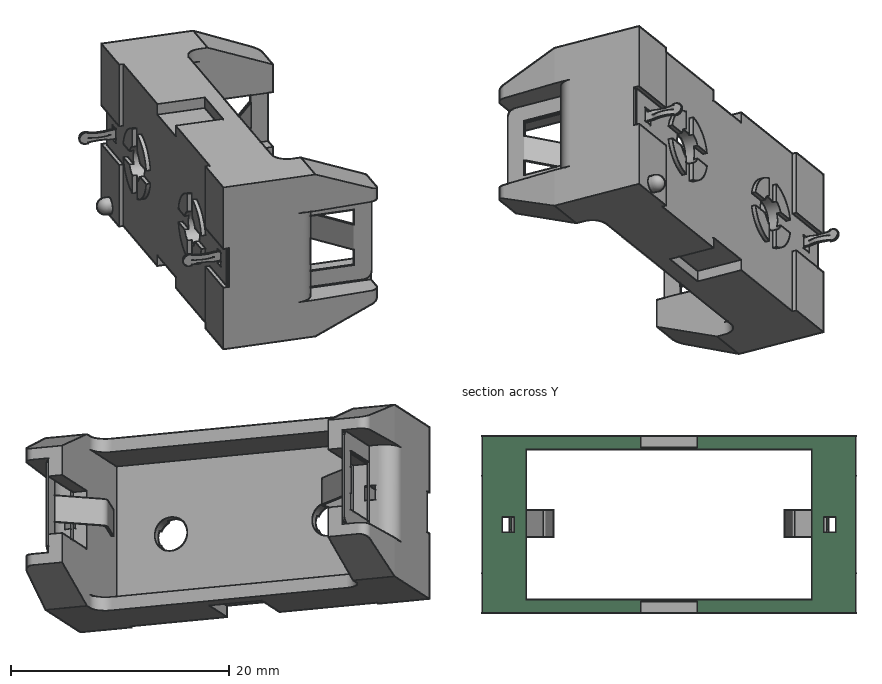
import cadquery as cq
import math


LENGTH = 34.3
WIDTH = 16.25
TIP_Y = 15.25
RIM_Y = 6.6
SHOULDER_Y = 8.9
ARM_DEPTH = 4.08
ARM_LEAN = 0.35
TIP_RADIUS = 0.9
RIM_FILLET = 1.5
TIP_NARROWING = 2.6
END_X = LENGTH / 2
HALF_WIDTH = WIDTH / 2
BED_WIDTH = 13.7
BED_Y = 1.37

PAD_HEIGHT = 0.4
PAD_LENGTH = 5.05
CHANNEL_WIDTH = 3.87
STEP_DEPTH = 0.15
STEP_LENGTH = 0.35
HOLE_SPACING = 15.45
HOLE_DIAMETER = 3.2
BOSS_DIAMETER = 6.6
BOSS_SLOT = 1.35
NOTCH_LENGTH = 5.15
NOTCH_DEPTH = 1.05
NOTCH_TOP_Y = 5.0
PEG_RADIUS = 0.8
PEG_STRAIGHT = 0.45
PEG_INSET_X = 2.45
PEG_INSET_Z = 1.03

SHEET = 0.2
PLATE_INSET = 2.5
PLATE_WIDTH = 8.68
PLATE_CORNER = 0.75
PLATE_WINDOW_WIDTH = 5.6
PLATE_WINDOW_TOP_Y = 13.55
PLATE_FOOT = 0.82
CONTACT_SHIFT_Z = 0.1
TONGUE_WIDTH = 2.5
TONGUE_BEND_INSET = 6.55
TONGUE_BEND_Y = 10.5
TONGUE_END_INSET = 5.73
TONGUE_BEND_TANGENT = 0.45
SHANK_WIDTH = 1.15
LEG_WIDTH = 0.93
BOW_LENGTH = 2.2
BOW_OUTER_RISE = 0.2
BOW_INNER_RISE = 0.17
TAIL_HEAD_WIDTH = 1.13
TAIL_HEAD_RADIUS = 0.55
TAIL_LENGTH = 3.02
PLATE_MID_X = -END_X + PLATE_INSET + SHEET / 2
PLATE_BACK_X = PLATE_MID_X + SHEET / 2
PLATE_BOTTOM_Y = SHOULDER_Y - PLATE_FOOT

RECESS_WIDTH = 8.9
LIP_RADIUS = 1.58
WALL_WINDOW_WIDTH = 5.5
LEG_SLOT_INSET = 1.9
LEG_SLOT_LENGTH = 1.05
LEG_SLOT_WIDTH = 1.37


def centred_box(x0, x1, y0, y1, width):
    """Box given by its limits in X and Y and its full width about Z = 0."""
    block = cq.Workplane("XY").box(x1 - x0, y1 - y0, width, centered=(False, False, True))
    return block.translate((x0, y0, 0))


def half_body():
    """Left half of the housing outline, narrowed in width towards the arm tip."""
    arm_x = -END_X + ARM_DEPTH
    outline = (
        cq.Workplane("XY")
        .moveTo(0, PAD_HEIGHT)
        .lineTo(-END_X + PAD_LENGTH, PAD_HEIGHT)
        .lineTo(-END_X + PAD_LENGTH, 0)
        .lineTo(-END_X, 0)
        .lineTo(-END_X, SHOULDER_Y)
        .lineTo(-END_X + ARM_LEAN, TIP_Y)
        .lineTo(arm_x, TIP_Y)
        .lineTo(arm_x, RIM_Y)
        .lineTo(0, RIM_Y)
        .close()
        .extrude(HALF_WIDTH, both=True)
    )
    tip_corner = cq.selectors.NearestToPointSelector((-END_X + ARM_LEAN, TIP_Y, 0))
    rim_corner = cq.selectors.NearestToPointSelector((arm_x, RIM_Y, 0))
    outline = outline.edges(tip_corner).fillet(TIP_RADIUS)
    outline = outline.edges(rim_corner).fillet(RIM_FILLET)
    tip_half_width = HALF_WIDTH - TIP_NARROWING
    envelope = (
        cq.Workplane("YZ")
        .polyline(
            [
                (0, -HALF_WIDTH),
                (SHOULDER_Y, -HALF_WIDTH),
                (TIP_Y, -tip_half_width),
                (TIP_Y, tip_half_width),
                (SHOULDER_Y, HALF_WIDTH),
                (0, HALF_WIDTH),
            ]
        )
        .close()
        .extrude(-LENGTH)
    )
    return outline.intersect(envelope)


def contact_recess():
    """Open recess behind the outer face, with a rounded lip, and the pocket for the plate's foot."""
    lip_x = -END_X + LIP_RADIUS
    lip_y = SHOULDER_Y - LIP_RADIUS
    lip_mid = (lip_x - LIP_RADIUS * math.sqrt(0.5), lip_y + LIP_RADIUS * math.sqrt(0.5))
    recess = (
        cq.Workplane("XY")
        .moveTo(-END_X, lip_y)
        .threePointArc(lip_mid, (lip_x, SHOULDER_Y))
        .lineTo(PLATE_BACK_X, SHOULDER_Y)
        .lineTo(PLATE_BACK_X, TIP_Y)
        .lineTo(-END_X, TIP_Y)
        .close()
        .extrude(RECESS_WIDTH / 2, both=True)
    )
    pocket = centred_box(PLATE_BACK_X - SHEET, PLATE_BACK_X, PLATE_BOTTOM_Y, SHOULDER_Y, RECESS_WIDTH)
    return recess.union(pocket)


def end_cutouts():
    """Everything removed from the left end to take one contact."""
    wall_window = centred_box(PLATE_BACK_X, -END_X + ARM_DEPTH, SHOULDER_Y, TIP_Y, WALL_WINDOW_WIDTH)
    slot_x = -END_X + LEG_SLOT_INSET
    leg_slot = centred_box(slot_x, slot_x + LEG_SLOT_LENGTH, 0, SHOULDER_Y, LEG_SLOT_WIDTH)
    channel = centred_box(-END_X, -END_X + PAD_LENGTH, 0, PAD_HEIGHT, CHANNEL_WIDTH)
    step = centred_box(-END_X, -END_X + STEP_LENGTH, 0, PAD_HEIGHT + STEP_DEPTH, CHANNEL_WIDTH)
    return contact_recess().union(wall_window).union(leg_slot).union(channel).union(step)


def cell_bed():
    """Flat-bottomed bed for the cell, from arm to arm."""
    half_length = END_X - ARM_DEPTH
    return centred_box(-half_length, half_length, BED_Y, TIP_Y, BED_WIDTH)


def hole_centres():
    """Workplane on the pad plane, facing +Y, with a point at each floor hole."""
    return cq.Workplane("XZ").pushPoints([(-HOLE_SPACING / 2, 0), (HOLE_SPACING / 2, 0)])


def floor_bosses():
    """Round bosses about the floor holes, each split into quarters by a cross of slots."""
    bosses = hole_centres().circle(BOSS_DIAMETER / 2).extrude(-PAD_HEIGHT)
    long_slots = hole_centres().rect(BOSS_DIAMETER, BOSS_SLOT).extrude(-PAD_HEIGHT)
    cross_slots = hole_centres().rect(BOSS_SLOT, BOSS_DIAMETER).extrude(-PAD_HEIGHT)
    return bosses.cut(long_slots).cut(cross_slots)


def side_notches():
    """Shallow notches in the middle of both long sides."""
    across = centred_box(-NOTCH_LENGTH / 2, NOTCH_LENGTH / 2, 0, NOTCH_TOP_Y, WIDTH)
    core = centred_box(-NOTCH_LENGTH / 2, NOTCH_LENGTH / 2, 0, NOTCH_TOP_Y, WIDTH - 2 * NOTCH_DEPTH)
    return across.cut(core)


def locating_peg():
    """Round-ended peg on the lower left pad."""
    profile = (
        cq.Workplane("XY")
        .lineTo(PEG_RADIUS, 0)
        .lineTo(PEG_RADIUS, -PEG_STRAIGHT)
        .radiusArc((0, -PEG_STRAIGHT - PEG_RADIUS), PEG_RADIUS)
        .close()
    )
    peg = profile.revolve(360, (0, 0, 0), (0, 1, 0))
    return peg.translate((-END_X + PEG_INSET_X, 0, -HALF_WIDTH + PEG_INSET_Z))


def make_housing():
    left = half_body().cut(end_cutouts())
    body = left.union(left.mirror("YZ")).cut(cell_bed()).cut(side_notches())
    body = body.union(floor_bosses())
    body = body.cut(hole_centres().circle(HOLE_DIAMETER / 2).extrude(-RIM_Y))
    return body.union(locating_peg())


def contact_plate():
    """Upright plate with rounded tip corners and a window."""
    x0 = PLATE_MID_X - SHEET / 2
    plate = centred_box(x0, PLATE_BACK_X, PLATE_BOTTOM_Y, TIP_Y, PLATE_WIDTH)
    plate = plate.edges("|X and >Y").fillet(PLATE_CORNER)
    return plate.cut(centred_box(x0, PLATE_BACK_X, SHOULDER_Y, PLATE_WINDOW_TOP_Y, PLATE_WINDOW_WIDTH))


def contact_tongue():
    """Bent spring tongue from the top edge of the plate window down to the rim of the cell bed."""
    root = cq.Vector(PLATE_MID_X, PLATE_WINDOW_TOP_Y)
    bend = cq.Vector(-END_X + TONGUE_BEND_INSET, TONGUE_BEND_Y)
    end = cq.Vector(-END_X + TONGUE_END_INSET, RIM_Y + SHEET / 2)
    arc_start = bend + (root - bend).normalized() * TONGUE_BEND_TANGENT
    arc_end = bend + (end - bend).normalized() * TONGUE_BEND_TANGENT
    middle_line = (
        cq.Workplane("XY")
        .moveTo(root.x, root.y)
        .lineTo(arc_start.x, arc_start.y)
        .tangentArcPoint((arc_end.x, arc_end.y), relative=False)
        .lineTo(end.x, end.y)
    )
    return middle_line.offset2D(SHEET / 2).extrude(TONGUE_WIDTH / 2, both=True)


def tail_bow(side):
    """One half of the split tail: a strip bowed towards +X (side 1) or -X (side -1)."""
    outer_x = PLATE_MID_X + side * SHEET / 2
    inner_x = PLATE_MID_X - side * SHEET / 2
    return (
        cq.Workplane("XY")
        .moveTo(inner_x, 0)
        .lineTo(outer_x, 0)
        .threePointArc((outer_x + side * BOW_OUTER_RISE, -BOW_LENGTH / 2), (outer_x, -BOW_LENGTH))
        .lineTo(inner_x, -BOW_LENGTH)
        .threePointArc((inner_x + side * BOW_INNER_RISE, -BOW_LENGTH / 2), (inner_x, 0))
        .close()
        .extrude(side * LEG_WIDTH / 2)
    )


def contact_tail():
    """Straight leg with a wider shank, two strips bowed apart, and a round-ended head."""
    x0 = PLATE_MID_X - SHEET / 2
    shank_end_y = PAD_HEIGHT + STEP_DEPTH
    shank = centred_box(x0, PLATE_BACK_X, shank_end_y, PLATE_BOTTOM_Y, SHANK_WIDTH)
    leg = centred_box(x0, PLATE_BACK_X, 0, shank_end_y, LEG_WIDTH)
    head = centred_box(x0, PLATE_BACK_X, -TAIL_LENGTH, -BOW_LENGTH, TAIL_HEAD_WIDTH)
    head = head.edges("|X and <Y").fillet(TAIL_HEAD_RADIUS)
    return shank.union(leg).union(tail_bow(1)).union(tail_bow(-1)).union(head)


def make_contact(turn):
    """Contact turned about the Y axis: 0 degrees for the left end, 180 for the right."""
    contact = contact_plate().union(contact_tongue()).union(contact_tail())
    return contact.rotate((0, 0, 0), (0, 1, 0), turn).translate((0, 0, CONTACT_SHIFT_Z))


housing = make_housing()
contacts = [make_contact(turn) for turn in (0, 180)]

result = cq.Compound.makeCompound([housing.val(), *[contact.val() for contact in contacts]])